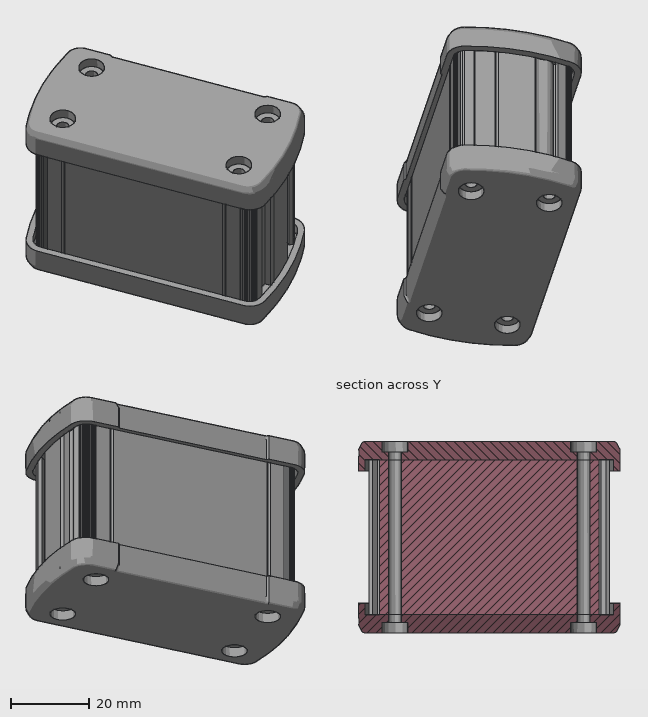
import cadquery as cq
import math

LENGTH = 68.7
WIDTH = 35.2
HEIGHT = 49.0

CAP_HEIGHT = 7.6
CAP_SIDE_RADIUS = 60.45
CAP_CORNER_RADIUS = 4.7
RIM_THICKNESS = 1.7
RECESS_DEPTH = 2.9
RECESS_CORNER_RADIUS = 3.45

BEVEL_HEIGHT = 2.0
BEVEL_INSET = 1.0
BEVEL_BLEND_RADIUS = 0.95
EDGE_TOLERANCE = 0.01

RELIEF_HALF_LENGTH = 21.1
RELIEF_DEPTH = 0.5

SCREW_X = 24.1
SCREW_Y = 10.25
SCREW_DIAMETER = 3.15
COUNTERBORE_DIAMETER = 6.5
COUNTERBORE_DEPTH = 2.7

BODY_END_INSET = 2.55
BODY_SIDE_INSET = 2.3
BODY_HALF_LENGTH = LENGTH / 2 - BODY_END_INSET
BODY_HALF_WIDTH = WIDTH / 2 - BODY_SIDE_INSET
BODY_SIDE_RADIUS = CAP_SIDE_RADIUS - BODY_END_INSET
BODY_HEIGHT = HEIGHT - 2 * (CAP_HEIGHT - RECESS_DEPTH)

V_GROOVE_X = 22.05
V_GROOVE_HALF_WIDTH = 0.5

CHANNEL_START_Y = 4.75
CHANNEL_WALL_Y = 5.2
CHANNEL_LIP_X = 30.8
CHANNEL_WALL_X = 29.35
CHANNEL_FLOOR_MID = (28.9, 6.7)
RIDGE_CREST = (28.9, 8.25)
RIDGE_RADIUS = 2.75
POCKET_Y = 10.6
POCKET_RADIUS = 0.95
OUTER_LIP_X = 29.8
CHANNEL_END_Y = 11.05

SERRATION_START_Y = 13.3
SERRATION_END_X = 26.4
SERRATION_BULGE = 0.6
SERRATION_COUNT = 8
SERRATION_DEPTH = 0.35

MIRROR_SIGNS = [(sx, sy) for sx in (1, -1) for sy in (1, -1)]
SCREW_POINTS = [(sx * SCREW_X, sy * SCREW_Y) for sx, sy in MIRROR_SIGNS]


def end_curve_x(half_length, radius, y):
    """X of a bowed end at a given Y."""
    return half_length - radius + math.sqrt(radius**2 - y**2)


def bowed_block(half_length, half_width, radius, height):
    """Block with flat long sides and bowed ends, standing on Z = 0."""
    corner_x = end_curve_x(half_length, radius, half_width)
    return (
        cq.Workplane("XY")
        .moveTo(-corner_x, -half_width)
        .lineTo(corner_x, -half_width)
        .threePointArc((half_length, 0), (corner_x, half_width))
        .lineTo(-corner_x, half_width)
        .threePointArc((-half_length, 0), (-corner_x, -half_width))
        .close()
        .extrude(height)
    )


def mirrored(shape, sx, sy):
    """Copy of a shape, flipped in X and Y where the sign is negative."""
    if sx < 0:
        shape = shape.mirror("YZ")
    if sy < 0:
        shape = shape.mirror("XZ")
    return shape


def side_relief():
    """Cutter for the shallow relief with 45 degree ends."""
    inner_y = WIDTH / 2 - RELIEF_DEPTH
    inner_x = RELIEF_HALF_LENGTH - RELIEF_DEPTH
    outer_x = RELIEF_HALF_LENGTH + RELIEF_DEPTH
    outer_y = WIDTH / 2 + RELIEF_DEPTH
    return (
        cq.Workplane("XY")
        .polyline([(-inner_x, inner_y), (inner_x, inner_y), (outer_x, outer_y), (-outer_x, outer_y)])
        .close()
        .extrude(CAP_HEIGHT)
    )


def bevel(straight):
    """Add the tapered, blended top to the straight wall of a cap."""
    wall_top = CAP_HEIGHT - BEVEL_HEIGHT
    taper = math.degrees(math.atan2(BEVEL_INSET, BEVEL_HEIGHT))
    tapered = straight.faces(">Z").wires().toPending().workplane().extrude(BEVEL_HEIGHT, taper=taper)
    blended = tapered.faces(">Z").edges().fillet(BEVEL_BLEND_RADIUS)
    near_wall_top = cq.selectors.BoxSelector(
        (-LENGTH, -WIDTH, wall_top - EDGE_TOLERANCE),
        (LENGTH, WIDTH, wall_top + EDGE_TOLERANCE),
        boundingbox=True,
    )
    return blended.edges(near_wall_top).fillet(BEVEL_BLEND_RADIUS)


def make_cap():
    """Cap with its outer face up and its rim on Z = 0."""
    straight = bowed_block(LENGTH / 2, WIDTH / 2, CAP_SIDE_RADIUS, CAP_HEIGHT - BEVEL_HEIGHT)
    straight = straight.edges("|Z").fillet(CAP_CORNER_RADIUS).cut(side_relief())
    cap = bevel(straight)
    recess = bowed_block(
        LENGTH / 2 - RIM_THICKNESS,
        WIDTH / 2 - RIM_THICKNESS,
        CAP_SIDE_RADIUS - RIM_THICKNESS,
        RECESS_DEPTH,
    )
    cap = cap.cut(recess.edges("|Z").fillet(RECESS_CORNER_RADIUS))
    return (
        cap.faces(">Z")
        .workplane(origin=(0, 0))
        .pushPoints(SCREW_POINTS)
        .cboreHole(SCREW_DIAMETER, COUNTERBORE_DIAMETER, COUNTERBORE_DEPTH)
    )


def end_channel():
    """Cutter for the undercut channel at +X, +Y."""
    start_x = end_curve_x(BODY_HALF_LENGTH, BODY_SIDE_RADIUS, CHANNEL_START_Y)
    end_x = end_curve_x(BODY_HALF_LENGTH, BODY_SIDE_RADIUS, CHANNEL_END_Y)
    ridge_angle = math.asin((POCKET_Y - RIDGE_CREST[1]) / RIDGE_RADIUS)

    def ridge_point(angle):
        return (
            RIDGE_CREST[0] - RIDGE_RADIUS * (1 - math.cos(angle)),
            RIDGE_CREST[1] + RIDGE_RADIUS * math.sin(angle),
        )

    pocket_floor = ridge_point(ridge_angle)
    pocket_center_x = pocket_floor[0] + POCKET_RADIUS
    pocket_diagonal = POCKET_RADIUS * math.sqrt(0.5)
    return (
        cq.Workplane("XY")
        .moveTo(LENGTH / 2, CHANNEL_START_Y)
        .lineTo(start_x, CHANNEL_START_Y)
        .lineTo(CHANNEL_LIP_X, CHANNEL_WALL_Y)
        .lineTo(CHANNEL_WALL_X, CHANNEL_WALL_Y)
        .threePointArc(CHANNEL_FLOOR_MID, RIDGE_CREST)
        .threePointArc(ridge_point(ridge_angle / 2), pocket_floor)
        .threePointArc(
            (pocket_center_x - pocket_diagonal, POCKET_Y + pocket_diagonal),
            (pocket_center_x, POCKET_Y + POCKET_RADIUS),
        )
        .lineTo(OUTER_LIP_X, POCKET_Y)
        .lineTo(end_x, CHANNEL_END_Y)
        .lineTo(LENGTH / 2, CHANNEL_END_Y)
        .close()
        .extrude(BODY_HEIGHT)
    )


def corner_serration():
    """Cutter for the serrated rounding at the +X, +Y corner."""
    start_x = end_curve_x(BODY_HALF_LENGTH, BODY_SIDE_RADIUS, SERRATION_START_Y)
    chord_x = SERRATION_END_X - start_x
    chord_y = BODY_HALF_WIDTH - SERRATION_START_Y
    chord = math.hypot(chord_x, chord_y)

    def tooth_point(fraction, depth):
        """Point along the bulged corner line, sunk below it by a depth."""
        outward = SERRATION_BULGE * 4 * fraction * (1 - fraction) - depth
        return (
            start_x + fraction * chord_x + outward * chord_y / chord,
            SERRATION_START_Y + fraction * chord_y - outward * chord_x / chord,
        )

    points = [(LENGTH / 2, SERRATION_START_Y), tooth_point(0, 0)]
    for tooth in range(SERRATION_COUNT):
        points.append(tooth_point((tooth + 0.5) / SERRATION_COUNT, SERRATION_DEPTH))
        points.append(tooth_point((tooth + 1) / SERRATION_COUNT, 0))
    points += [(SERRATION_END_X, WIDTH / 2), (LENGTH / 2, WIDTH / 2)]
    return cq.Workplane("XY").polyline(points).close().extrude(BODY_HEIGHT)


def v_groove():
    """Cutter for the 45 degree V-groove at +X on the +Y face."""
    half = V_GROOVE_HALF_WIDTH
    return (
        cq.Workplane("XY")
        .center(V_GROOVE_X, BODY_HALF_WIDTH)
        .polyline([(-half, 0), (0, -half), (half, 0)])
        .close()
        .extrude(BODY_HEIGHT)
    )


def make_body():
    """Grooved extrusion with screw holes along its full height, standing on Z = 0."""
    body = bowed_block(BODY_HALF_LENGTH, BODY_HALF_WIDTH, BODY_SIDE_RADIUS, BODY_HEIGHT)
    for cutter in (end_channel(), corner_serration(), v_groove()):
        for sx, sy in MIRROR_SIGNS:
            body = body.cut(mirrored(cutter, sx, sy))
    holes = cq.Workplane("XY").pushPoints(SCREW_POINTS).circle(SCREW_DIAMETER / 2).extrude(BODY_HEIGHT)
    return body.cut(holes)


body = make_body().translate((0, 0, -BODY_HEIGHT / 2))
top_cap = make_cap().translate((0, 0, HEIGHT / 2 - CAP_HEIGHT))
bottom_cap = top_cap.mirror("XY")

result = cq.Compound.makeCompound([body.val(), top_cap.val(), bottom_cap.val()])